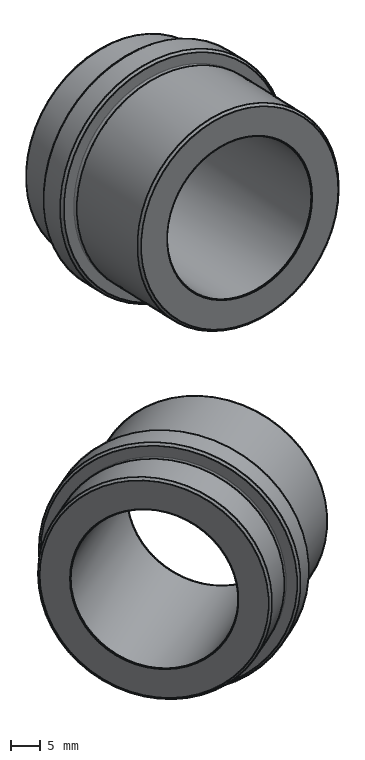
import cadquery as cq

length = 35.0
flange_start = 9.02
flange_width = 6.0
flange_end = flange_start + flange_width

flange_diameter = 47.0
body_diameter = 42.0
bore_diameter = 30.0

edge_chamfer = 0.45
groove_width = 1.0
bore_chamfer = 0.15


def cylinder(start, width, diameter):
    """Solid cylinder along X, beginning at the axial position start."""
    return cq.Workplane("YZ", origin=(start, 0, 0)).circle(diameter / 2).extrude(width)


def groove_ring(center):
    """Torus that cuts a half-round relief groove centred at an axial position."""
    return (
        cq.Workplane("XY")
        .center(center, body_diameter / 2)
        .circle(groove_width / 2)
        .revolve(360, (0, -body_diameter / 2, 0), (1, -body_diameter / 2, 0))
    )


sleeve = cylinder(0, length, body_diameter).faces("<X or >X").edges().chamfer(edge_chamfer)

for groove_center in (flange_start - groove_width / 2, flange_end + groove_width / 2):
    sleeve = sleeve.cut(groove_ring(groove_center))

flange = cylinder(flange_start, flange_width, flange_diameter).faces("<X or >X").edges().chamfer(edge_chamfer)
sleeve = sleeve.union(flange)

result = sleeve.cut(cylinder(0, length, bore_diameter))
for end_face in ("<X", ">X"):
    bore_mouth = result.faces(end_face).edges(cq.selectors.RadiusNthSelector(0))
    result = bore_mouth.chamfer(bore_chamfer)